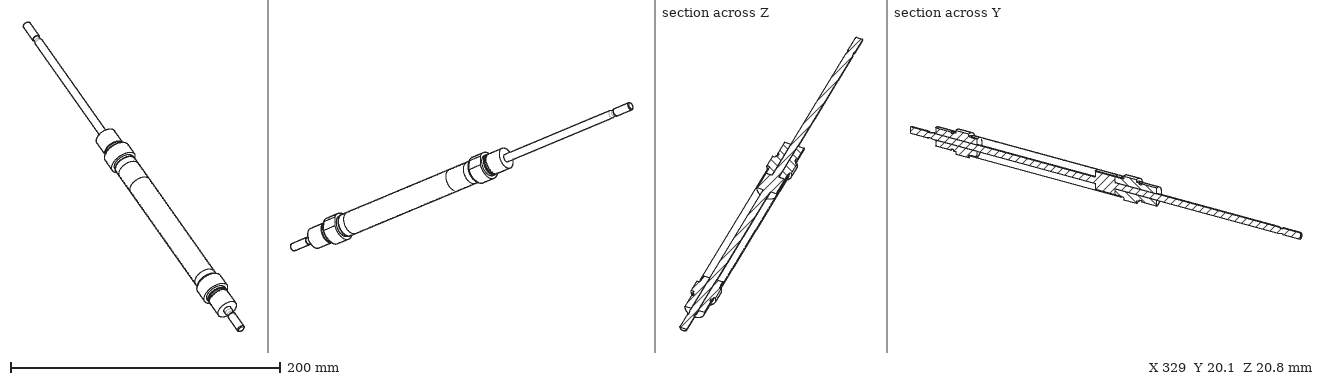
import cadquery as cq


rod_length = 329.0
rod_radius = 3.0
tip_chamfer = 0.6
thread_length = 15.0
undercut_length = 2.0
undercut_radius = 2.4
relief_length = 4.0
piston_length = 17.0

long_rod_reach = 121.2
cap_span = 186.4
boss_length = 13.0
boss_radius = 8.0
neck_length = 2.0
neck_radius = 7.0
collar_length = 2.0
collar_radius = 8.2
collar_chamfer = 0.3
head_length = 11.0
head_radius = 10.4
flat_offset = 9.7
shoulder_length = 2.0
shoulder_radius = 8.2
spigot_length = 5.0

tube_radius = 8.65
bore_radius = 8.0

collar_start = long_rod_reach + boss_length + neck_length
head_start = collar_start + collar_length
tube_start = head_start + head_length + shoulder_length
spigot_end = tube_start + spigot_length
cap_middle = long_rod_reach + cap_span / 2
tube_length = 2 * (cap_middle - tube_start)


def disc(start, length, radius):
    """Cylinder on the X axis, from the given start towards +X."""
    return cq.Workplane("YZ").workplane(offset=start).circle(radius).extrude(length)


def mirrored_about(body, middle):
    """Copy of the body mirrored in the plane X = middle."""
    return body.mirror("YZ", basePointVector=(middle, 0, 0))


def make_thread_relief():
    """Ring to cut away: a thread undercut, then a cone back up to the rod surface."""
    undercut_end = thread_length + undercut_length
    relief_end = thread_length + relief_length
    profile = [
        (thread_length, undercut_radius),
        (undercut_end, undercut_radius),
        (relief_end, rod_radius),
        (thread_length, rod_radius),
    ]
    return cq.Workplane("XY").polyline(profile).close().revolve(360, (0, 0, 0), (1, 0, 0))


def make_rod():
    """Through rod with chamfered, relieved ends and the piston against the long-side cap."""
    rod = disc(0, rod_length, rod_radius).faces("<X or >X").chamfer(tip_chamfer)
    relief = make_thread_relief()
    rod = rod.cut(relief).cut(mirrored_about(relief, rod_length / 2))
    return rod.union(disc(spigot_end, piston_length, bore_radius))


def make_collar():
    collar = disc(collar_start, collar_length, collar_radius)
    return collar.faces("<X").chamfer(collar_chamfer)


def make_head():
    """Large ring of the cap, with a port flat on its +Y side."""
    head = disc(head_start, head_length, head_radius)
    beyond_flat = cq.Workplane("XY").box(
        head_length, head_radius, 2 * head_radius, centered=(False, False, True)
    )
    return head.cut(beyond_flat.translate((head_start, flat_offset, 0)))


def make_cap():
    """Cap on the long rod side: boss, neck, collar, head, shoulder and spigot, bored for the rod."""
    cap = disc(long_rod_reach, boss_length, boss_radius)
    cap = cap.union(disc(long_rod_reach + boss_length, neck_length, neck_radius))
    cap = cap.union(make_collar())
    cap = cap.union(make_head())
    cap = cap.union(disc(head_start + head_length, shoulder_length, shoulder_radius))
    cap = cap.union(disc(tube_start, spigot_length, bore_radius))
    return cap.cut(disc(long_rod_reach, spigot_end - long_rod_reach, rod_radius))


def make_tube():
    tube = disc(tube_start, tube_length, tube_radius)
    return tube.cut(disc(tube_start, tube_length, bore_radius))


rod = make_rod()
long_side_cap = make_cap()
caps = [long_side_cap, mirrored_about(long_side_cap, cap_middle)]
tube = make_tube()

result = cq.Compound.makeCompound([rod.val(), *[cap.val() for cap in caps], tube.val()])